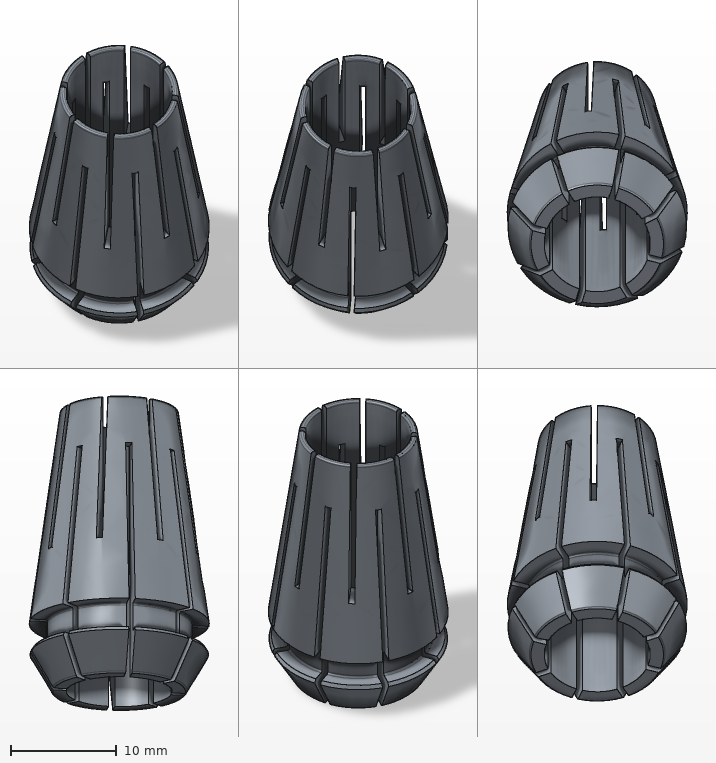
import cadquery as cq
import math

length = 27.5
bore_diameter = 10
bore_radius = bore_diameter / 2

taper_half_angle = 8
taper_base_radius = 8.5
taper_base_z = 6.7

groove_radius = 6.9
groove_base_z = 4.0
groove_root_radius = 0.2

nose_half_angle = 30
flange_radius = 8.43
flange_rim_z = 3.65
flange_rim_radius = 8.2

rim_radius = 0.2
nose_edge_break = 0.15

slots_per_set = 8
slot_width = 0.6
nose_slot_top_z = 22.7
top_slot_floor_z = 13.0

slot_pitch = 360 / slots_per_set
slot_reach = 2 * taper_base_radius


def taper_radius(z):
    return taper_base_radius - (z - taper_base_z) * math.tan(math.radians(taper_half_angle))


def nose_radius(z):
    return flange_radius - (flange_rim_z - z) * math.tan(math.radians(nose_half_angle))


def make_body():
    """Revolve the wall of the collet, as a half section in radius and height, about Z."""
    nose_edge_radius = nose_radius(nose_edge_break)
    arc_side = groove_root_radius * (1 - math.sqrt(0.5))
    root_radius = groove_radius + groove_root_radius
    section = (
        cq.Workplane("XZ")
        .moveTo(bore_radius, 0)
        .lineTo(nose_edge_radius - nose_edge_break, 0)
        .lineTo(nose_edge_radius, nose_edge_break)
        .lineTo(flange_radius, flange_rim_z)
        .lineTo(flange_rim_radius, groove_base_z)
        .lineTo(root_radius, groove_base_z)
        .threePointArc(
            (groove_radius + arc_side, groove_base_z + arc_side),
            (groove_radius, groove_base_z + groove_root_radius),
        )
        .lineTo(groove_radius, taper_base_z - groove_root_radius)
        .threePointArc(
            (groove_radius + arc_side, taper_base_z - arc_side),
            (root_radius, taper_base_z),
        )
        .lineTo(taper_base_radius, taper_base_z)
        .lineTo(taper_radius(length), length)
        .lineTo(bore_radius, length)
        .close()
    )
    return section.revolve(360, (0, 0, 0), (0, 1, 0))


def round_rim(body):
    """Round the outer and bore edges of the top end face."""
    return body.faces(">Z").edges("%CIRCLE").fillet(rim_radius)


def cut_slots(body, bottom_z, top_z, first_angle):
    """Cut one set of radial slots through the wall between two heights."""
    blade = (
        cq.Workplane("XY")
        .workplane(offset=bottom_z)
        .rect(slot_reach, slot_width)
        .extrude(top_z - bottom_z)
        .translate((slot_reach / 2, 0, 0))
    )
    for index in range(slots_per_set):
        angle = first_angle + index * slot_pitch
        body = body.cut(blade.rotate((0, 0, 0), (0, 0, 1), angle))
    return body


body = round_rim(make_body())
body = cut_slots(body, 0, nose_slot_top_z, 0)
result = cut_slots(body, top_slot_floor_z, length, slot_pitch / 2)